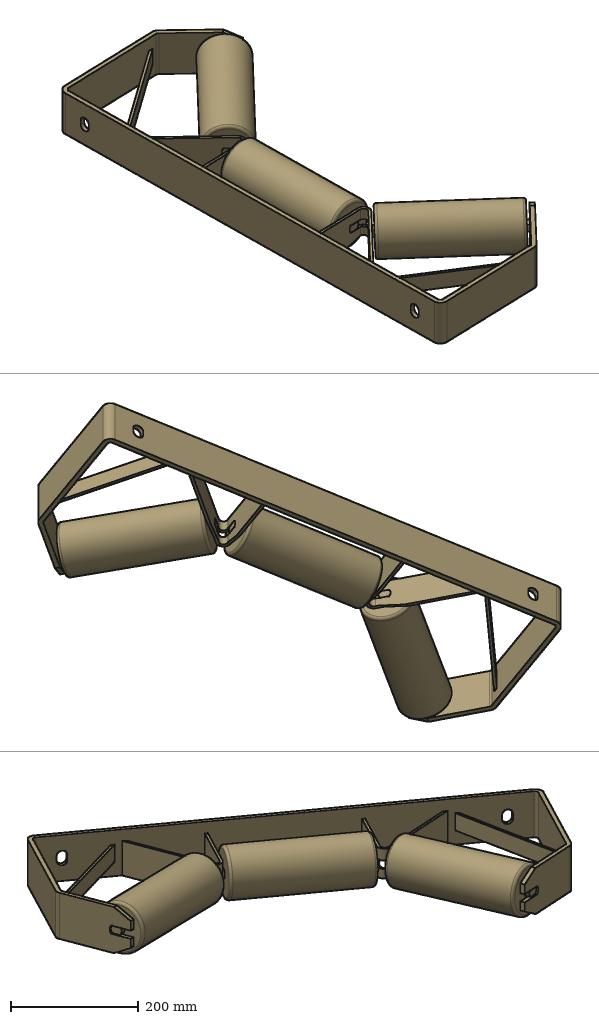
import cadquery as cq
import math

FRAME_LENGTH = 830.0
FRAME_HEIGHT = 80.0
FRAME_THICKNESS = 8.0
BEND_RADIUS = 14.0
SIDE_HEIGHT = 218.0
ARM_LENGTH = 139.0
ARM_CHAMFER_ALONG = 31.5
ARM_CHAMFER_ACROSS = 17.0
MOUNT_SLOT_WIDTH = 17.5
MOUNT_SLOT_HEIGHT = 25.0
MOUNT_SLOT_X = 358.5
SIDE_ANGLE = 45.0

ROLLER_LENGTH = 240.0
ROLLER_RADIUS = 44.4
ROLLER_FILLET = 5.0
SHAFT_RADIUS = 10.0
SHAFT_FLATS = 14.0
ROLLER_GAP = 4.0
CENTRE_ROLLER_Y = 102.0
CENTRE_ROLLER_Z = -7.5
SIDE_ROLLER_X = 244.0
SIDE_ROLLER_Y = 202.0
SIDE_ROLLER_Z = -4.0
SIDE_ROLLER_TILT = 1.6

BRACKET_THICKNESS = 5.0
BRACKET_RADIUS = 12.5
BRACKET_TOP = 20.0
BRACKET_RELIEF = 8.0
BRACKET_TAPER = 29.0

STRUT_THICKNESS = 5.0
STRUT_HEIGHT = 30.0
STRUT_FOOT_X = 274.0
STRUT_TOP_Y = 205.0

HALF_LENGTH = FRAME_LENGTH / 2
FRAME_BOTTOM = -FRAME_HEIGHT / 2
PLATE_INNER = ROLLER_LENGTH / 2 + ROLLER_GAP
SHAFT_HALF = PLATE_INNER + BRACKET_THICKNESS
DIAGONAL = math.sin(math.radians(SIDE_ANGLE))
BRACKET_FOOT = SIDE_ROLLER_X + SIDE_ROLLER_Y - FRAME_THICKNESS - PLATE_INNER / DIAGONAL


def place_at_side(body):
    """Move a body from roller axes (axis along X) to the -X side roller."""
    return (
        body.rotate((0, 0, 0), (0, 1, 0), SIDE_ROLLER_TILT)
        .rotate((0, 0, 0), (0, 0, 1), -SIDE_ANGLE)
        .translate((-SIDE_ROLLER_X, SIDE_ROLLER_Y, SIDE_ROLLER_Z))
    )


def place_at_centre(body):
    """Move a body from roller axes to the centre roller."""
    return body.translate((0, CENTRE_ROLLER_Y, CENTRE_ROLLER_Z))


def mirrored(body):
    """Copy a body to the +X half."""
    return body.mirror("YZ")


def make_shaft():
    """Round shaft along X with a flat above and below."""
    flats = cq.Workplane("XY").box(2 * SHAFT_HALF, 2 * SHAFT_RADIUS, SHAFT_FLATS)
    return cq.Workplane("YZ").circle(SHAFT_RADIUS).extrude(SHAFT_HALF, both=True).intersect(flats)


def make_roller():
    """Drum with rounded ends and its shaft."""
    end = (-ROLLER_LENGTH / 2, 0, 0)
    drum = cq.Workplane("YZ", origin=end).circle(ROLLER_RADIUS).extrude(ROLLER_LENGTH)
    return drum.edges().fillet(ROLLER_FILLET).union(make_shaft())


def make_shaft_slots():
    """Open slots around both shaft ends, running towards +Y of the roller axes."""
    reach = 2 * ROLLER_RADIUS
    length = 2 * SHAFT_HALF + 2 * FRAME_THICKNESS
    seat = cq.Workplane("YZ").circle(SHAFT_RADIUS).extrude(length / 2, both=True)
    opening = cq.Workplane("XY", origin=(0, reach / 2, 0)).box(length, reach, SHAFT_FLATS)
    flats = cq.Workplane("XY").box(length, 2 * reach, SHAFT_FLATS)
    return seat.union(opening).intersect(flats)


def make_arm_corners():
    """Wedges that bevel the upper and lower corners of the -X arm tip."""
    arm_run = ARM_LENGTH * DIAGONAL
    tip = (-HALF_LENGTH + arm_run, SIDE_HEIGHT + arm_run, 0)
    top = FRAME_HEIGHT / 2
    wedge = [(0, top), (-ARM_CHAMFER_ALONG, top), (0, top - ARM_CHAMFER_ACROSS)]
    arm_face = cq.Plane(origin=tip, xDir=(1, 1, 0), normal=(1, -1, 0))
    upper = cq.Workplane(arm_face).polyline(wedge).close().extrude(2 * FRAME_THICKNESS, both=True)
    return upper.union(upper.mirror("XY"))


def make_frame():
    """Bent strip with rounded bends, mounting slots, bevelled arm tips and shaft slots."""
    arm_run = ARM_LENGTH * DIAGONAL
    tip = (-HALF_LENGTH + arm_run, SIDE_HEIGHT + arm_run)
    outer = [tip, (-HALF_LENGTH, SIDE_HEIGHT), (-HALF_LENGTH, 0), (HALF_LENGTH, 0),
             (HALF_LENGTH, SIDE_HEIGHT), (-tip[0], tip[1])]
    inner_half = HALF_LENGTH - FRAME_THICKNESS
    inner_side = SIDE_HEIGHT - FRAME_THICKNESS * math.tan(math.radians(SIDE_ANGLE / 2))
    inner_tip = (tip[0] + FRAME_THICKNESS * DIAGONAL, tip[1] - FRAME_THICKNESS * DIAGONAL)
    inner = [(-inner_tip[0], inner_tip[1]), (inner_half, inner_side), (inner_half, FRAME_THICKNESS),
             (-inner_half, FRAME_THICKNESS), (-inner_half, inner_side), inner_tip]
    base = cq.Workplane("XY", origin=(0, 0, FRAME_BOTTOM))
    frame = base.polyline(outer + inner).close().extrude(FRAME_HEIGHT)

    bends = ((outer[1:5], BEND_RADIUS), (inner[1:5], BEND_RADIUS - FRAME_THICKNESS))
    for corners, radius in bends:
        for x, y in corners:
            frame = frame.edges(cq.selectors.NearestToPointSelector((x, y, 0))).fillet(radius)

    slots = (
        cq.Workplane("XZ")
        .pushPoints([(-MOUNT_SLOT_X, 0), (MOUNT_SLOT_X, 0)])
        .slot2D(MOUNT_SLOT_HEIGHT, MOUNT_SLOT_WIDTH, 90)
        .extrude(-FRAME_THICKNESS)
    )
    frame = frame.cut(slots)

    for cutter in (make_arm_corners(), place_at_side(make_shaft_slots())):
        frame = frame.cut(cutter).cut(mirrored(cutter))
    return frame


def make_bracket():
    """Bent plate at -X with an upright leg, a sloping leg and shaft slots in both."""
    wall = -PLATE_INNER
    foot = -BRACKET_FOOT
    peak_y = FRAME_THICKNESS + wall - foot
    slope_shift = BRACKET_THICKNESS / DIAGONAL
    inner_wall = wall - BRACKET_THICKNESS
    inner_peak = peak_y - BRACKET_THICKNESS - slope_shift
    outline = [(foot, FRAME_THICKNESS), (wall, peak_y), (wall, FRAME_THICKNESS),
               (inner_wall, FRAME_THICKNESS), (inner_wall, inner_peak),
               (foot + slope_shift, FRAME_THICKNESS)]
    bracket = cq.Workplane("XY", origin=(0, 0, FRAME_BOTTOM)).polyline(outline).close()
    bracket = bracket.extrude(BRACKET_TOP - FRAME_BOTTOM)
    middle_z = (BRACKET_TOP + FRAME_BOTTOM) / 2
    bends = ((outline[1], BRACKET_RADIUS), (outline[4], BRACKET_RADIUS - BRACKET_THICKNESS))
    for (x, y), radius in bends:
        bracket = bracket.edges(cq.selectors.NearestToPointSelector((x, y, middle_z))).fillet(radius)

    bend_y = peak_y - BRACKET_RADIUS / math.tan(math.radians(SIDE_ANGLE / 2))
    relief_top = FRAME_BOTTOM + BRACKET_RELIEF
    relief = (
        cq.Workplane("YZ", origin=(foot, 0, 0))
        .polyline([(bend_y - BRACKET_TAPER, FRAME_BOTTOM), (bend_y, relief_top), (peak_y, relief_top),
                   (peak_y, FRAME_BOTTOM)])
        .close()
        .extrude(wall - foot)
    )
    slots = make_shaft_slots()
    return bracket.cut(relief).cut(place_at_side(slots)).cut(place_at_centre(slots))


def make_strut():
    """Flat diagonal bar at -X, cut flush with the side wall and the base."""
    top = (-HALF_LENGTH + FRAME_THICKNESS, STRUT_TOP_Y)
    foot = (-STRUT_FOOT_X, FRAME_THICKNESS)
    run = foot[0] - top[0]
    rise = top[1] - foot[1]
    length = math.hypot(run, rise)
    outline = [top, foot, (foot[0] - STRUT_THICKNESS * length / rise, foot[1]),
               (top[0], top[1] - STRUT_THICKNESS * length / run)]
    return cq.Workplane("XY").polyline(outline).close().extrude(STRUT_HEIGHT / 2, both=True)


frame = make_frame()
roller = make_roller()
bracket = make_bracket()
strut = make_strut()
side_roller = place_at_side(roller)
bodies = [frame, place_at_centre(roller)]
for body in (side_roller, bracket, strut):
    bodies += [body, mirrored(body)]

result = cq.Compound.makeCompound([body.val() for body in bodies])